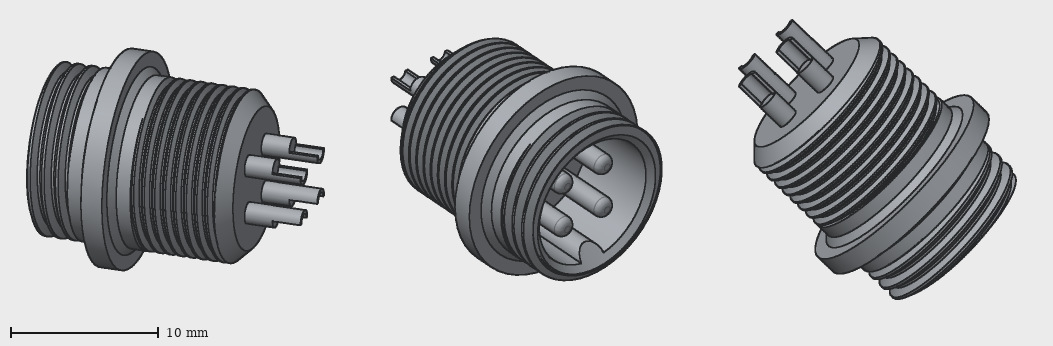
import cadquery as cq
import math


front_thread_end = 3.0
front_cone_start = 4.0
flange_start = 4.5
flange_end = 6.0
rear_cone_end = 6.5
rear_thread_start = 7.5
rear_thread_end = 13.5
body_end = 14.5
cup_start = 16.5
overall_length = 18.5

body_radius = 11.91 / 2
flange_radius = 15.0 / 2
cone_radius = body_radius + flange_start - front_cone_start

front_thread_turns = 3
front_root_radius = 10.75 / 2
rear_thread_turns = 8
rear_root_radius = 11.05 / 2
flat_share = 0.19
groove_overshoot = 0.04

bore_radius = 9.5 / 2
mouth_radius = 10.5 / 2
mouth_cone_angle = 40.0
socket_depth = 6.5
key_radius = 1.0

pin_radius = 1.5 / 2
pin_circle_radius = 2.5
pin_offset = pin_circle_radius / math.sqrt(2)
pin_tip = 1.0
pin_tip_fillet = 0.5
cup_radius = 1.0 / 2


def rod(radius, start, end, y=0, z=0):
    """Cylinder along X between two stations."""
    return cq.Workplane("YZ", origin=(start, y, z)).circle(radius).extrude(end - start)


def turned(profile):
    """Solid of revolution about X from (station, radius) points."""
    return cq.Workplane("XY").polyline(profile).close().revolve(360, (0, 0, 0), (1, 0, 0))


def make_middle():
    """Flange with its cones and the plain necks between the two threads."""
    profile = [
        (front_thread_end, 0),
        (front_thread_end, body_radius),
        (front_cone_start, body_radius),
        (flange_start, cone_radius),
        (flange_start, flange_radius),
        (flange_end, flange_radius),
        (flange_end, cone_radius),
        (rear_cone_end, body_radius),
        (rear_thread_start, body_radius),
        (rear_thread_start, 0),
    ]
    return turned(profile)


def make_rear_end():
    """End behind the rear thread, tapering at 45 degrees."""
    taper = body_end - rear_thread_end
    profile = [
        (rear_thread_end, 0),
        (rear_thread_end, body_radius),
        (body_end, body_radius - taper),
        (body_end, 0),
    ]
    return turned(profile)


def make_thread(start, end, turns, root_radius):
    """Threaded length with a right-hand helical groove, square at both ends."""
    pitch = (end - start) / turns
    flat = pitch * flat_share
    flank_slope = (pitch / 2 - flat) / (body_radius - root_radius)
    outer_radius = body_radius + groove_overshoot
    outer_half_width = (pitch - flat) / 2 + groove_overshoot * flank_slope

    helix = cq.Wire.makeHelix(pitch, pitch * (turns + 2), root_radius)
    groove = (
        cq.Workplane("XZ")
        .polyline([
            (root_radius, -flat / 2),
            (outer_radius, -outer_half_width),
            (outer_radius, outer_half_width),
            (root_radius, flat / 2),
        ])
        .close()
        .sweep(cq.Workplane(obj=helix), isFrenet=True)
        .rotate((0, 0, 0), (0, 1, 0), 90)
        .translate((start - pitch, 0, 0))
    )
    blank = rod(body_radius, start - 2 * pitch, end + 2 * pitch)
    return blank.cut(groove).intersect(rod(flange_radius, start, end))


def make_socket():
    """Bore with a rounded key along its lowest line; the mouth cone trims both."""
    key = rod(key_radius, 0, socket_depth, z=-bore_radius)
    bore = rod(bore_radius, 0, socket_depth).cut(key)
    cone_depth = mouth_radius * math.tan(math.radians(mouth_cone_angle))
    mouth_cone = turned([(0, 0), (0, mouth_radius), (cone_depth, 0)])
    return bore.union(mouth_cone)


def make_pin(y_side, z_side):
    """Rounded contact pin with a half-open solder cup facing away from the axis."""
    y = y_side * pin_offset
    z = z_side * pin_offset
    cup_length = overall_length - cup_start
    pin = rod(pin_radius, pin_tip, overall_length, y, z)
    pin = pin.faces("<X").edges().fillet(pin_tip_fillet)
    opening = cq.Workplane("XY").box(cup_length, 2 * pin_radius, pin_radius).translate(
        (cup_start + cup_length / 2, y, z + z_side * pin_radius / 2)
    )
    cup = rod(cup_radius, cup_start, overall_length, y, z)
    return pin.cut(opening).cut(cup)


front_thread = make_thread(0, front_thread_end, front_thread_turns, front_root_radius)
rear_thread = make_thread(
    rear_thread_start, rear_thread_end, rear_thread_turns, rear_root_radius
)
result = make_middle().union(front_thread).union(rear_thread).union(make_rear_end())
result = result.cut(make_socket())
for y_side in (-1, 1):
    for z_side in (-1, 1):
        result = result.union(make_pin(y_side, z_side))